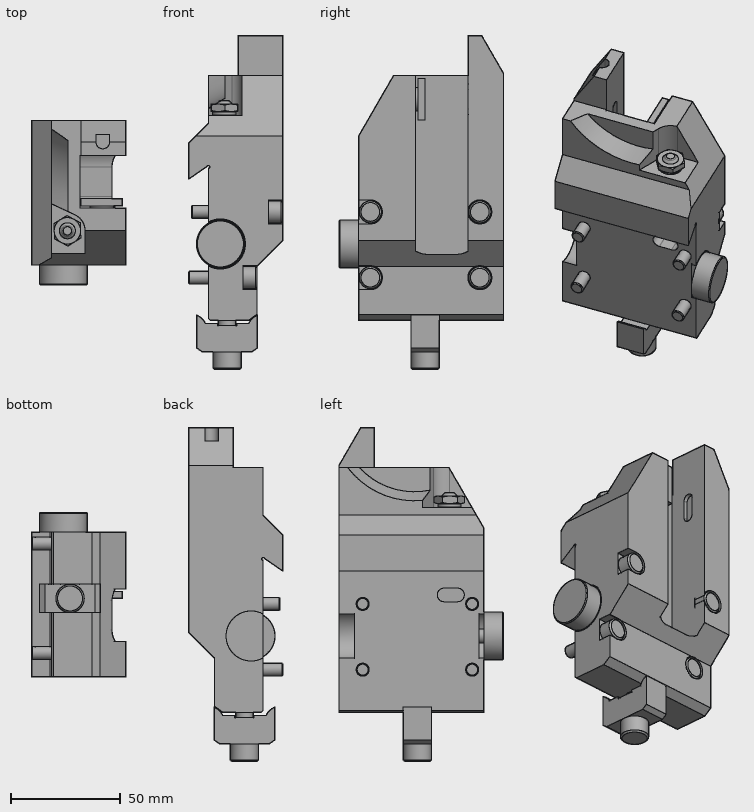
import cadquery as cq
import math

width = 43.0
depth = 66.1
back_x = 9.0
thin_x = 31.2
bottom_z = 22.4
top_z = 134.1
total_z = 152.3
hook_tip_z = 86.8
hook_root_z = 93.0
hook_top_z = 103.4
relief_radius = 0.6
rear_slope_z = 58.8
edge_chamfer = 0.9
wedge_x = 3.8
wedge_z = 2.7
slope_start_z = 106.6
slope_tan = math.tan(math.radians(60))

jaw_x = 22.5
jaw_front_y = 50.0
jaw_flat_y = 56.2
jaw_notch_x = 32.5
jaw_notch_width = 6.2
jaw_notch_y = 59.7
jaw_slot_width = 5.0
jaw_slot_length = 14.0
jaw_slot_depth = 2.0

pocket_x = 22.1
pocket_front_y = 26.0
pocket_floor_z = 52.5
pocket_flat_margin = 5.2
pocket_corner_radius = 9.9

plate_center_x = 32.0
plate_size = 18.9
plate_front_y = 27.1
plate_thickness = 3.2
plate_top_z = 132.8
rod_diameter = 10.7

nut_x = 16.3
nut_y = 15.7
recess_floor_z = 115.9
recess_radius = 8.0
recess_wall_angle = math.radians(25)
washer_diameter = 10.7
washer_height = 1.8
washer_chamfer = 0.3
nut_flats = 12.0
nut_height = 3.3
nut_chamfer_height = 0.5
nut_chamfer_width = 0.9
nut_turn = 2.0
stud_base_diameter = 7.3
stud_shoulder_diameter = 5.0
stud_top_diameter = 3.8
stud_shoulder_height = 1.2
stud_height = 1.7

scoop_y = 31.7
scoop_floor_z = 118.9
scoop_radius = 38.0
scoop_inner_radius = 34.0
scoop_depth = 7.6

knob_x = 14.5
knob_z = 57.2
knob_diameter = 22.0
knob_length = 9.0
knob_chamfer = 0.5
knob_recess_diameter = 22.8
front_recess_depth = 2.3
back_recess_depth = 7.0
knob_stem_diameter = 6.5

screw_front_y = 5.3
screw_back_y = 55.3
upper_screw_z = 71.9
lower_screw_z = 41.9
upper_screw_tip_x = 1.2
lower_screw_tip_x = 0
screw_diameter = 6.0
screw_chamfer = 0.5
head_diameter = 10.0
head_height = 6.5
head_chamfer = 0.8
counterbore_diameter = 11.0

slot_y = 15.0
slot_z = 76.0
slot_length = 12.3
slot_width = 6.2

claw_x = 17.5
claw_y = 30.3
claw_half_width = 13.9
claw_depth = 13.0
claw_bottom_z = 8.0
claw_seat_z = 21.0
claw_tip_z = 24.8
claw_seat_half = 9.9
claw_bulge = 0.53
claw_chamfer_x = 2.5
claw_chamfer_z = 1.7
groove_width = 8.7
groove_depth = 1.0
claw_shank_diameter = 8.0
claw_head_diameter = 13.0


def along_y(points, y_start, length):
    """Prism of an XZ outline running in +Y from y_start."""
    outline = cq.Workplane("XZ", origin=(0, y_start, 0)).polyline(points).close()
    return outline.extrude(-length)


def along_x(points, x_start, length):
    """Prism of a YZ outline running in +X from x_start."""
    return cq.Workplane("YZ", origin=(x_start, 0, 0)).polyline(points).close().extrude(length)


def rod_y(x, y, z, diameter, length):
    """Cylinder running in +Y."""
    return cq.Workplane("XZ", origin=(x, y, z)).circle(diameter / 2).extrude(-length)


def rod_x(x, y, z, diameter, length):
    """Cylinder running in +X."""
    return cq.Workplane("YZ", origin=(x, y, z)).circle(diameter / 2).extrude(length)


def rod_z(x, y, z, diameter, length):
    """Cylinder running in +Z."""
    return cq.Workplane("XY", origin=(x, y, z)).circle(diameter / 2).extrude(length)


def make_block():
    """Block with its hook, rear slope and bevelled front top edge."""
    profile = [
        (back_x, top_z),
        (back_x, hook_top_z + back_x),
        (0, hook_top_z),
        (0, hook_tip_z),
        (back_x, hook_root_z),
        (back_x, bottom_z + edge_chamfer),
        (back_x + edge_chamfer, bottom_z),
        (thin_x - wedge_x, bottom_z),
        (thin_x, bottom_z + wedge_z),
        (thin_x, rear_slope_z - (width - thin_x)),
        (width, rear_slope_z),
        (width, top_z),
    ]
    block = along_y(profile, 0, depth)
    block = block.cut(rod_y(back_x, 0, hook_root_z - relief_radius, 2 * relief_radius, depth))
    slope_run = (top_z - slope_start_z) / slope_tan
    bevel = [(0, slope_start_z), (slope_run, top_z), (0, top_z)]
    return block.cut(along_x(bevel, 0, width))


def make_fixed_jaw():
    """Upright jaw with a sloped back."""
    back_z = total_z - (depth - jaw_flat_y) * slope_tan
    profile = [
        (jaw_front_y, top_z),
        (jaw_front_y, total_z),
        (jaw_flat_y, total_z),
        (depth, back_z),
        (depth, top_z),
    ]
    return along_x(profile, jaw_x, width - jaw_x)


def cut_fixed_jaw(body):
    """Round-ended notch in the top of the jaw and an upright slot in its face."""
    notch_floor_z = total_z - (jaw_notch_y - jaw_flat_y) * slope_tan
    notch_height = total_z - notch_floor_z
    notch = rod_z(jaw_notch_x, jaw_flat_y, notch_floor_z, jaw_notch_width, notch_height)
    notch = notch.union(
        cq.Workplane("XY", origin=(jaw_notch_x, jaw_flat_y, notch_floor_z))
        .rect(jaw_notch_width, 2 * (depth - jaw_flat_y))
        .extrude(notch_height)
        .intersect(cq.Workplane("XY").box(width, depth - jaw_flat_y, total_z, centered=False)
                   .translate((0, jaw_flat_y, 0)))
    )
    face_slot = (
        cq.Workplane("XZ", origin=(jaw_notch_x, jaw_front_y, plate_top_z - plate_size / 2))
        .slot2D(jaw_slot_length, jaw_slot_width, 90)
        .extrude(-jaw_slot_depth)
    )
    return body.cut(notch).cut(face_slot)


def cut_pocket(body):
    """Pocket open to the top and rear, with rounded floor corners."""
    sag = pocket_corner_radius - math.sqrt(pocket_corner_radius**2 - pocket_flat_margin**2)
    edge_z = pocket_floor_z + sag
    pocket = (
        cq.Workplane("YZ", origin=(pocket_x, 0, 0))
        .moveTo(pocket_front_y, top_z)
        .lineTo(pocket_front_y, edge_z)
        .radiusArc((pocket_front_y + pocket_flat_margin, pocket_floor_z), -pocket_corner_radius)
        .lineTo(jaw_front_y - pocket_flat_margin, pocket_floor_z)
        .radiusArc((jaw_front_y, edge_z), -pocket_corner_radius)
        .lineTo(jaw_front_y, top_z)
        .close()
        .extrude(width - pocket_x)
    )
    return body.cut(pocket)


def make_moving_jaw():
    """Square jaw plate on a short rod reaching the front wall of the pocket."""
    center_z = plate_top_z - plate_size / 2
    plate = (
        cq.Workplane("XZ", origin=(plate_center_x, plate_front_y, center_z))
        .rect(plate_size, plate_size)
        .extrude(-plate_thickness)
    )
    rod_length = plate_front_y - pocket_front_y
    return plate.union(rod_y(plate_center_x, pocket_front_y, center_z, rod_diameter, rod_length))


def cut_nut_recess(body):
    """Recess with a round inner corner and a slanted wall tangent to it."""
    tangent_x = nut_x + recess_radius * math.sin(recess_wall_angle)
    tangent_y = nut_y + recess_radius * math.cos(recess_wall_angle)
    wall_end_y = tangent_y + tangent_x * math.tan(recess_wall_angle)
    mid_angle = (math.pi / 2 - recess_wall_angle) / 2
    mid_point = (
        nut_x + recess_radius * math.cos(mid_angle),
        nut_y + recess_radius * math.sin(mid_angle),
    )
    recess = (
        cq.Workplane("XY", origin=(0, 0, recess_floor_z))
        .moveTo(0, 0)
        .lineTo(nut_x + recess_radius, 0)
        .lineTo(nut_x + recess_radius, nut_y)
        .threePointArc(mid_point, (tangent_x, tangent_y))
        .lineTo(0, wall_end_y)
        .close()
        .extrude(top_z - recess_floor_z)
    )
    return body.cut(recess)


def make_nut():
    """Washer, hexagon nut and domed stud end."""
    corner_diameter = nut_flats / math.cos(math.radians(30))
    nut_z = recess_floor_z + washer_height
    washer = rod_z(nut_x, nut_y, recess_floor_z, washer_diameter, washer_height)
    washer = washer.edges().chamfer(washer_chamfer)
    hexagon = (
        cq.Workplane("XY", origin=(nut_x, nut_y, nut_z))
        .transformed(rotate=(0, 0, 90 + nut_turn))
        .polygon(6, corner_diameter)
        .extrude(nut_height)
    )
    rounding = rod_z(nut_x, nut_y, nut_z, corner_diameter, nut_height)
    rounding = rounding.edges().chamfer(nut_chamfer_height, nut_chamfer_width)
    stud = (
        cq.Workplane("XZ", origin=(nut_x, nut_y, nut_z + nut_height))
        .polyline([
            (0, 0),
            (stud_base_diameter / 2, 0),
            (stud_shoulder_diameter / 2, stud_shoulder_height),
            (stud_top_diameter / 2, stud_height),
            (0, stud_height),
        ])
        .close()
        .revolve(360, (0, 0, 0), (0, 1, 0))
    )
    return washer.union(hexagon.intersect(rounding)).union(stud)


def cut_scoop(body):
    """Cone frustum about an axis parallel to X, narrowing into the block."""
    axis_z = scoop_floor_z + scoop_radius
    scoop = (
        cq.Workplane("XY", origin=(back_x, scoop_y, axis_z))
        .polyline([(0, 0), (0, scoop_radius), (scoop_depth, scoop_inner_radius), (scoop_depth, 0)])
        .close()
        .revolve(360, (0, 0, 0), (1, 0, 0))
    )
    return body.cut(scoop)


def cut_knob_recesses(body):
    """Round recesses in the front and back faces on the knob axis."""
    front = rod_y(knob_x, 0, knob_z, knob_recess_diameter, front_recess_depth)
    back_y = depth - back_recess_depth
    back = rod_y(knob_x, back_y, knob_z, knob_recess_diameter, back_recess_depth)
    return body.cut(front).cut(back)


def make_knob():
    """Knob in front of the block on a stem through the front recess."""
    knob = rod_y(knob_x, -knob_length, knob_z, knob_diameter, knob_length)
    knob = knob.faces("<Y").chamfer(knob_chamfer)
    return knob.union(rod_y(knob_x, 0, knob_z, knob_stem_diameter, front_recess_depth))


def add_screw(body, y, z, tip_x, seat_x):
    """Screw whose head sits in a counterbore that breaks out if near the front."""
    counterbore = rod_x(seat_x, y, z, counterbore_diameter, head_height)
    if y < counterbore_diameter / 2:
        breakout = cq.Workplane("XY").box(head_height, y, counterbore_diameter, centered=(False, False, True))
        counterbore = counterbore.union(breakout.translate((seat_x, 0, z)))
    head = rod_x(seat_x, y, z, head_diameter, head_height).faces(">X").chamfer(head_chamfer)
    shank = rod_x(tip_x, y, z, screw_diameter, seat_x - tip_x).faces("<X").chamfer(screw_chamfer)
    return body.cut(counterbore).union(head).union(shank)


def cut_blind_slot(body):
    """Round-ended slot in the mounting face, as deep as it is wide."""
    slot = (
        cq.Workplane("YZ", origin=(back_x, slot_y, slot_z))
        .slot2D(slot_length, slot_width)
        .extrude(slot_width)
    )
    return body.cut(slot)


def make_claw():
    """Symmetric clamp claw with rounded tips, held by a screw from below."""
    claw = (
        cq.Workplane("XZ", origin=(claw_x, claw_y + claw_depth / 2, 0))
        .moveTo(-claw_half_width + claw_chamfer_x, claw_bottom_z)
        .lineTo(-claw_half_width, claw_bottom_z + claw_chamfer_z)
        .lineTo(-claw_half_width, claw_tip_z)
        .sagittaArc((-claw_seat_half, claw_seat_z), claw_bulge)
        .lineTo(claw_seat_half, claw_seat_z)
        .sagittaArc((claw_half_width, claw_tip_z), claw_bulge)
        .lineTo(claw_half_width, claw_bottom_z + claw_chamfer_z)
        .lineTo(claw_half_width - claw_chamfer_x, claw_bottom_z)
        .close()
        .extrude(claw_depth)
    )
    groove = cq.Workplane("XY").box(groove_width, claw_depth, groove_depth, centered=(True, True, False))
    claw = claw.cut(groove.translate((claw_x, claw_y, claw_seat_z - groove_depth)))
    head = rod_z(claw_x, claw_y, 0, claw_head_diameter, claw_bottom_z).faces("<Z").chamfer(head_chamfer)
    shank = rod_z(claw_x, claw_y, claw_bottom_z, claw_shank_diameter, bottom_z - claw_bottom_z)
    return claw.union(head).union(shank)


body = cut_pocket(make_block())
body = cut_fixed_jaw(body.union(make_fixed_jaw()))
body = cut_nut_recess(cut_scoop(body))
body = cut_blind_slot(cut_knob_recesses(body))
for screw_y in (screw_front_y, screw_back_y):
    body = add_screw(body, screw_y, upper_screw_z, upper_screw_tip_x, width - head_height)
    body = add_screw(body, screw_y, lower_screw_z, lower_screw_tip_x, thin_x - head_height)
for fitting in (make_moving_jaw(), make_nut(), make_knob(), make_claw()):
    body = body.union(fitting)

result = body